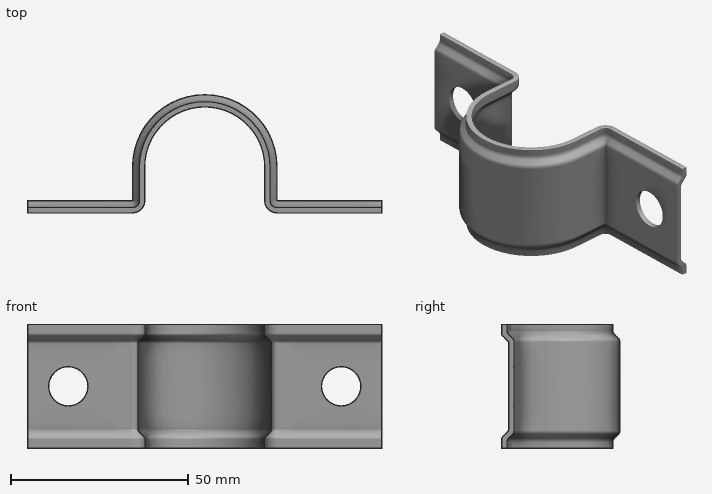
import cadquery as cq
import math

length = 100.0
height = 35.0
depth = 33.4

thickness = 1.5
lip_offset = 2.0
lip_height = 3.0
inner_fillet = 1.0
outer_fillet = 1.5
slope_angle = 45.0

arch_radius = 20.4
hole_diameter = 11.0
hole_spacing = 77.0

half_height = height / 2
section_depth = thickness + lip_offset
arch_center_y = depth - arch_radius
leg_length = arch_center_y - section_depth
flange_length = length / 2 - arch_radius

half_slope = math.radians(slope_angle / 2)
slope_rise = lip_offset / math.tan(math.radians(slope_angle))
inner_corner_z = half_height - lip_height
outer_corner_z = inner_corner_z + thickness * math.tan(half_slope)


def bend_ends(corner_depth, corner_z, radius, slope_side):
    """Tangent points (flat side, slope side) of a bend; slope_side is -1 at the lip, +1 at the web."""
    tangent = radius * math.tan(half_slope)
    along_depth = tangent * math.sin(2 * half_slope)
    along_z = tangent * math.cos(2 * half_slope)
    flat_end = (corner_depth, corner_z - slope_side * tangent)
    slope_end = (corner_depth + slope_side * along_depth, corner_z + slope_side * along_z)
    return flat_end, slope_end


def half_section(origin, depth_direction):
    """Upper half of the sheet section; local x runs from the outer web face to the inner lip face."""
    normal = cq.Vector(*depth_direction).cross(cq.Vector(0, 0, 1))
    plane = cq.Plane(origin=origin, xDir=depth_direction, normal=normal.toTuple())

    web_in_flat, web_in_slope = bend_ends(thickness, inner_corner_z - slope_rise, inner_fillet, 1)
    lip_in_flat, lip_in_slope = bend_ends(section_depth, inner_corner_z, inner_fillet, -1)
    lip_out_flat, lip_out_slope = bend_ends(lip_offset, outer_corner_z, outer_fillet, -1)
    web_out_flat, web_out_slope = bend_ends(0, outer_corner_z - slope_rise, outer_fillet, 1)

    return (
        cq.Workplane(plane)
        .moveTo(0, 0)
        .lineTo(thickness, 0)
        .lineTo(*web_in_flat)
        .tangentArcPoint(web_in_slope, relative=False)
        .lineTo(*lip_in_slope)
        .tangentArcPoint(lip_in_flat, relative=False)
        .lineTo(section_depth, half_height)
        .lineTo(lip_offset, half_height)
        .lineTo(*lip_out_flat)
        .tangentArcPoint(lip_out_slope, relative=False)
        .lineTo(*web_out_slope)
        .tangentArcPoint(web_out_flat, relative=False)
        .close()
    )


corner = (-arch_radius, section_depth, 0)
arch_start = (-arch_radius, arch_center_y, 0)
towards_front = (0, -1, 0)
towards_center = (1, 0, 0)

flange = half_section(corner, towards_front).extrude(flange_length)
bend = half_section(corner, towards_front).revolve(90, (0, 0), (0, 1))
leg = half_section(arch_start, towards_center).extrude(leg_length)
arch = half_section(arch_start, towards_center).revolve(90, (arch_radius, 0), (arch_radius, -1))
quarter = flange.union(bend).union(leg).union(arch)

half = quarter.union(quarter.mirror("XY"))
clamp = half.union(half.mirror("YZ"))

holes = (
    cq.Workplane("XZ")
    .pushPoints([(-hole_spacing / 2, 0), (hole_spacing / 2, 0)])
    .circle(hole_diameter / 2)
    .extrude(-section_depth)
)
result = clamp.cut(holes)